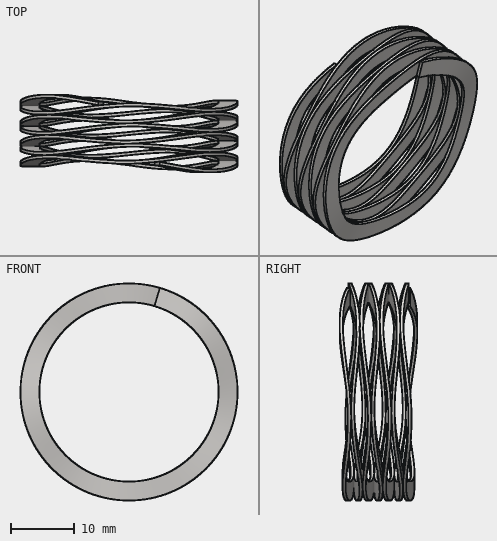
import cadquery as cq
import math

outer_diameter = 34.5
inner_diameter = 28.43
overall_length = 12.35
strip_thickness = 0.52
crest_clearance = 0.007
waves_per_turn = 3.5
turns = 7
end_setback = 16.5
points_per_wave = 16

end_angle = math.radians(180 * turns - end_setback)
wave_angle = 2 * math.pi / waves_per_turn
last_crest_angle = (math.floor(end_angle / wave_angle - 0.75) + 0.75) * wave_angle
last_crest_turn = last_crest_angle / (2 * math.pi)

pitch = (overall_length + crest_clearance) / (2 * last_crest_turn + 1)
amplitude = (pitch - strip_thickness - crest_clearance) / 2

tip_gap = pitch - 2 * amplitude * math.sin(waves_per_turn * end_angle)
tip_bend = tip_gap - strip_thickness - crest_clearance


def inward_bend(angle):
    """Extra inward bend of the strip ends, growing with the square of the distance past the last crest."""
    travel = max(0, abs(angle) - last_crest_angle) / (end_angle - last_crest_angle)
    return math.copysign(tip_bend * travel**2, angle)


def strip_point(angle, radius, offset):
    """Point at the given angle and radius, offset along Y from the middle of the strip."""
    wave = amplitude * math.sin(waves_per_turn * angle)
    middle = pitch * angle / (2 * math.pi) - wave - inward_bend(angle)
    return cq.Vector(-radius * math.sin(angle), middle + offset, -radius * math.cos(angle))


def strip_edge(radius, offset):
    """One of the four long corner curves of the strip."""
    steps = math.ceil(2 * end_angle / wave_angle * points_per_wave)
    angles = [end_angle * (2 * i / steps - 1) for i in range(steps + 1)]
    return cq.Edge.makeSpline([strip_point(angle, radius, offset) for angle in angles])


def end_face(corners, angle):
    """Flat radial face that closes the strip at one end."""
    points = [strip_point(angle, radius, offset) for radius, offset in corners]
    return cq.Face.makeFromWires(cq.Wire.makePolygon(points, close=True))


def wave_spring():
    inner_radius = inner_diameter / 2
    outer_radius = outer_diameter / 2
    half_thickness = strip_thickness / 2
    corners = [
        (inner_radius, -half_thickness),
        (outer_radius, -half_thickness),
        (outer_radius, half_thickness),
        (inner_radius, half_thickness),
    ]
    edges = [strip_edge(radius, offset) for radius, offset in corners]
    faces = [cq.Face.makeRuledSurface(edges[i - 1], edges[i]) for i in range(len(edges))]
    faces += [end_face(corners, -end_angle), end_face(corners, end_angle)]
    return cq.Solid.makeSolid(cq.Shell.makeShell(faces)).fix()


result = cq.Workplane("XY").newObject([wave_spring()])